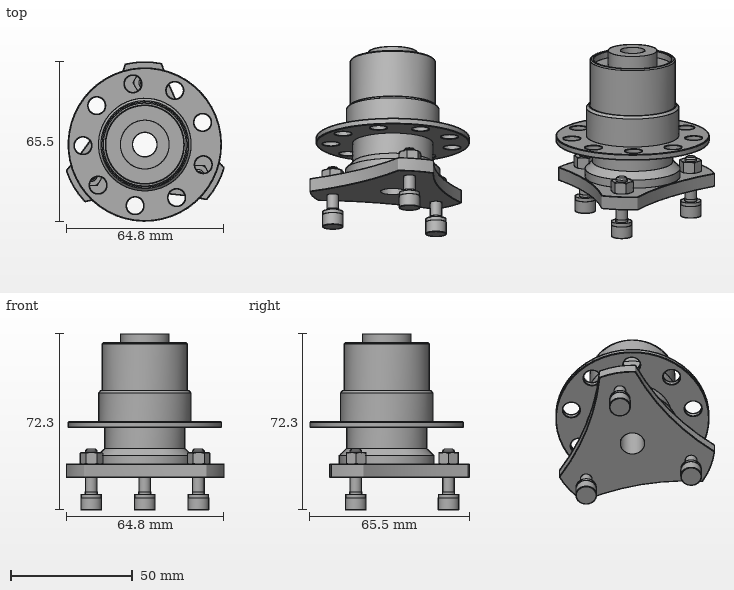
import cadquery as cq
import math

PLATE_BOTTOM = 13.4
PLATE_TOP = 18.95
BASE_TOP = 22.35
NECK_BOTTOM = 25.3
FLANGE_BOTTOM = 33.85
FLANGE_TOP = 36.3
SHOULDER_TOP = 49.2
HOUSING_TOP = 68.75
BOSS_TOP = 72.3
RECESS_DEPTH = 2.8

BASE_DIA = 39.0
NECK_DIA = 33.0
FLANGE_DIA = 63.0
SHOULDER_DIA = 38.0
HOUSING_DIA = 35.0
RECESS_DIA = 32.0
BOSS_DIA = 20.0
BORE_DIA = 10.0
SHOULDER_CHAMFER = 1.0
HOUSING_CHAMFER = 0.5
RECESS_CHAMFER = 0.2
FLANGE_CHAMFER = 0.3

HUB_TURN = 1.0

FLANGE_HOLE_COUNT = 9
FLANGE_HOLE_DIA = 7.0
FLANGE_HOLE_CHAMFER = 0.2
FLANGE_HOLE_START = 20.0
HOLE_CIRCLE_RADIUS = 25.4

ARM_COUNT = 3
ARM_PITCH = 360.0 / ARM_COUNT
FIRST_ARM_ANGLE = 90.0
PLATE_RADIUS = 34.0
ARM_HALF_ANGLE = 12.8
WAIST_RADIUS = 19.95
ARM_CORNER_FILLET = 0.5
PLATE_CHAMFER = 0.2

HEAD_DIA = 8.5
HEAD_RIM_DIA = 8.4
HEAD_RIM_BOTTOM = 5.0
HEAD_TOP = 6.4
HEAD_CHAMFER = 0.2
COLLAR_DIA = 5.0
COLLAR_TOP = 7.45
SHANK_DIA = 4.85
TIP_CHAMFER = 0.7
BOLT_TOP = 25.1

NUT_FLATS = 8.0
NUT_CORNERS = NUT_FLATS / math.cos(math.radians(30))
NUT_TOP = 23.6
NUT_CHAMFER_WIDTH = 0.4
NUT_CHAMFER_HEIGHT = 0.3
NUT_TURN = 0.5


def polar(radius, angle):
    """Point at a radius and an angle in degrees."""
    return (radius * math.cos(math.radians(angle)), radius * math.sin(math.radians(angle)))


def cylinder(diameter, bottom, top):
    """Cylinder about Z between two heights."""
    return cq.Workplane("XY").workplane(offset=bottom).circle(diameter / 2).extrude(top - bottom)


def revolve_profile(points):
    """Solid of revolution about Z from (radius, height) points."""
    return cq.Workplane("XZ").polyline(points).close().revolve(360, (0, 0, 0), (0, 1, 0))


ARM_ANGLES = [FIRST_ARM_ANGLE + i * ARM_PITCH for i in range(ARM_COUNT)]
BOLT_CENTRES = [polar(HOLE_CIRCLE_RADIUS, angle) for angle in ARM_ANGLES]


def make_plate():
    """Plate with three arms: round tips joined by concave sides."""
    outline = cq.Workplane("XY").workplane(offset=PLATE_BOTTOM)
    outline = outline.moveTo(*polar(PLATE_RADIUS, ARM_ANGLES[0] - ARM_HALF_ANGLE))
    for angle in ARM_ANGLES:
        next_arm_start = angle + ARM_PITCH - ARM_HALF_ANGLE
        outline = outline.threePointArc(
            polar(PLATE_RADIUS, angle), polar(PLATE_RADIUS, angle + ARM_HALF_ANGLE)
        )
        outline = outline.threePointArc(
            polar(WAIST_RADIUS, angle + ARM_PITCH / 2), polar(PLATE_RADIUS, next_arm_start)
        )
    plate = outline.close().extrude(PLATE_TOP - PLATE_BOTTOM)
    plate = plate.edges("|Z").fillet(ARM_CORNER_FILLET)
    return plate.faces("<Z or >Z").edges().chamfer(PLATE_CHAMFER)


def make_flange():
    """Round flange with a ring of chamfered holes."""
    flange = cylinder(FLANGE_DIA, FLANGE_BOTTOM, FLANGE_TOP).edges().chamfer(FLANGE_CHAMFER)
    pitch = 360.0 / FLANGE_HOLE_COUNT
    centres = [polar(HOLE_CIRCLE_RADIUS, FLANGE_HOLE_START + i * pitch) for i in range(FLANGE_HOLE_COUNT)]
    holes = (
        cq.Workplane("XY")
        .workplane(offset=FLANGE_BOTTOM)
        .pushPoints(centres)
        .circle(FLANGE_HOLE_DIA / 2)
        .extrude(FLANGE_TOP - FLANGE_BOTTOM)
    )
    flange = flange.cut(holes)
    hole_edges = flange.faces("<Z or >Z").edges(cq.selectors.RadiusNthSelector(0))
    return hole_edges.chamfer(FLANGE_HOLE_CHAMFER)


def make_body():
    """Turned column: base with a conical top, neck, shoulder, recessed housing and central boss."""
    recess_floor = HOUSING_TOP - RECESS_DEPTH
    return revolve_profile([
        (0, PLATE_BOTTOM),
        (BASE_DIA / 2, PLATE_BOTTOM),
        (BASE_DIA / 2, BASE_TOP),
        (NECK_DIA / 2, NECK_BOTTOM),
        (NECK_DIA / 2, FLANGE_TOP),
        (SHOULDER_DIA / 2, FLANGE_TOP),
        (SHOULDER_DIA / 2, SHOULDER_TOP - SHOULDER_CHAMFER),
        (SHOULDER_DIA / 2 - SHOULDER_CHAMFER, SHOULDER_TOP),
        (HOUSING_DIA / 2, SHOULDER_TOP),
        (HOUSING_DIA / 2, HOUSING_TOP - HOUSING_CHAMFER),
        (HOUSING_DIA / 2 - HOUSING_CHAMFER, HOUSING_TOP),
        (RECESS_DIA / 2 + RECESS_CHAMFER, HOUSING_TOP),
        (RECESS_DIA / 2, HOUSING_TOP - RECESS_CHAMFER),
        (RECESS_DIA / 2, recess_floor),
        (BOSS_DIA / 2, recess_floor),
        (BOSS_DIA / 2, BOSS_TOP),
        (0, BOSS_TOP),
    ])


def make_hub():
    """Hub: plate, column and flange in one, with its bore and bolt holes."""
    bolt_holes = (
        cq.Workplane("XY")
        .workplane(offset=PLATE_BOTTOM)
        .pushPoints(BOLT_CENTRES)
        .circle(SHANK_DIA / 2)
        .extrude(PLATE_TOP - PLATE_BOTTOM)
    )
    bore = cylinder(BORE_DIA, PLATE_BOTTOM, BOSS_TOP)
    plate_and_flange = make_plate().union(make_flange()).rotate((0, 0, 0), (0, 0, 1), HUB_TURN)
    return make_body().union(plate_and_flange).cut(bore).cut(bolt_holes)


def make_bolt(centre):
    """Cylinder-head bolt, head down, with a chamfered tip."""
    bolt = revolve_profile([
        (0, 0),
        (HEAD_DIA / 2 - HEAD_CHAMFER, 0),
        (HEAD_DIA / 2, HEAD_CHAMFER),
        (HEAD_DIA / 2, HEAD_RIM_BOTTOM),
        (HEAD_RIM_DIA / 2, HEAD_RIM_BOTTOM),
        (HEAD_RIM_DIA / 2, HEAD_TOP),
        (COLLAR_DIA / 2, HEAD_TOP),
        (COLLAR_DIA / 2, COLLAR_TOP),
        (SHANK_DIA / 2, COLLAR_TOP),
        (SHANK_DIA / 2, BOLT_TOP),
        (0, BOLT_TOP),
    ])
    bolt = bolt.faces(">Z").edges().chamfer(TIP_CHAMFER)
    return bolt.translate((*centre, 0))


def make_nut(arm_angle):
    """Hexagon nut on the plate, corners turned off at both ends, bored to fit the bolt."""
    hexagon = (
        cq.Workplane("XY")
        .workplane(offset=PLATE_TOP)
        .polygon(6, NUT_CORNERS)
        .extrude(NUT_TOP - PLATE_TOP)
    )
    corner_radius = NUT_CORNERS / 2
    face_radius = corner_radius - NUT_CHAMFER_WIDTH
    turned_blank = revolve_profile([
        (0, PLATE_TOP),
        (face_radius, PLATE_TOP),
        (corner_radius, PLATE_TOP + NUT_CHAMFER_HEIGHT),
        (corner_radius, NUT_TOP - NUT_CHAMFER_HEIGHT),
        (face_radius, NUT_TOP),
        (0, NUT_TOP),
    ])
    nut_centre = polar(HOLE_CIRCLE_RADIUS, arm_angle + NUT_TURN)
    bolt_centre = polar(HOLE_CIRCLE_RADIUS, arm_angle)
    nut = hexagon.intersect(turned_blank).translate((*nut_centre, 0))
    return nut.cut(cylinder(SHANK_DIA, PLATE_TOP, NUT_TOP).translate((*bolt_centre, 0)))


hub = make_hub()
bolts = [make_bolt(centre) for centre in BOLT_CENTRES]
nuts = [make_nut(angle) for angle in ARM_ANGLES]

result = cq.Compound.makeCompound([
    hub.val(),
    *[bolt.val() for bolt in bolts],
    *[nut.val() for nut in nuts],
])